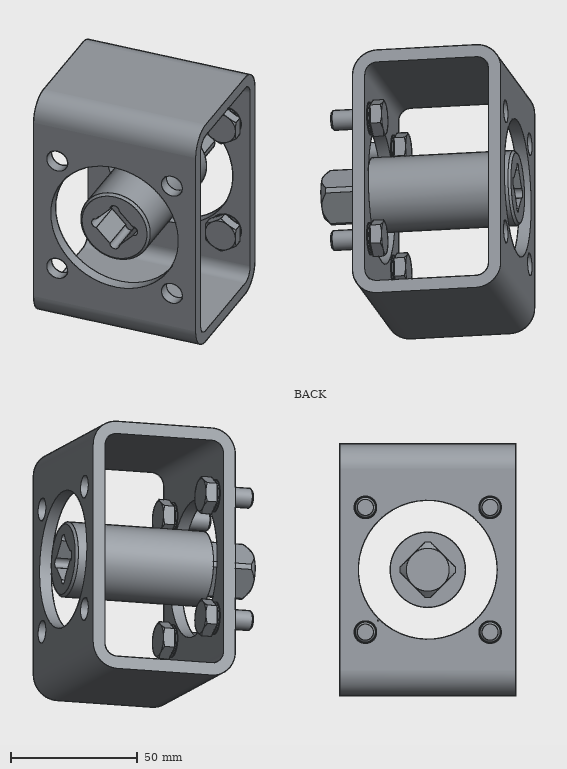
import cadquery as cq
import math

TUBE_LENGTH = 70.0
TUBE_DEPTH = 60.0
TUBE_HEIGHT = 100.0
WALL = 5.0
OUTER_CORNER_RADIUS = 10.0
INNER_CORNER_RADIUS = OUTER_CORNER_RADIUS - WALL
WINDOW_DIAMETER = 55.0
BOLT_CIRCLE_DIAMETER = 70.0
BOLT_ANGLE = 45.0
BOLT_HOLE_DIAMETER = 9.0
FRONT_FACE_Y = -TUBE_DEPTH / 2
BACK_WALL_INNER_Y = TUBE_DEPTH / 2 - WALL

STEM_LENGTH = 78.0
STEM_DIAMETER = 30.0
STEM_CHAMFER = 1.0
SOCKET_WIDTH = 14.0
SOCKET_CORNERS = 4
SOCKET_DEPTH = 16.0
RELIEF_RADIUS = 2.0
DRIVE_WIDTH = 17.0
DRIVE_CORNER_DIAMETER = 22.0
DRIVE_LENGTH = 20.0
DRIVE_CHAMFER = (DRIVE_CORNER_DIAMETER - DRIVE_WIDTH) / 2
STEM_BODY_LENGTH = STEM_LENGTH - DRIVE_LENGTH

WASHER_DIAMETER = 13.0
WASHER_BORE = 8.4
WASHER_THICKNESS = 0.8
WASHER_CHAMFER = 0.4

BOLT_DIAMETER = 8.0
SHANK_LENGTH = 16.0
SHANK_CHAMFER = 0.8
HEAD_SIDES = 6
HEAD_TURN = 90.0
HEAD_WIDTH = 13.0
HEAD_HEIGHT = 5.3
HEAD_CHAMFER_ANGLE = 30.0
COLLAR_DIAMETER = 11.6
COLLAR_HEIGHT = 0.6
BEARING_FACE_Y = BACK_WALL_INNER_Y - WASHER_THICKNESS

SQUARE_TURN = 45.0

bolt_offset = BOLT_CIRCLE_DIAMETER / 2 * math.sin(math.radians(BOLT_ANGLE))
bolt_positions = [(x, z) for x in (-bolt_offset, bolt_offset) for z in (-bolt_offset, bolt_offset)]


def facing_back(y):
    """Sketch plane at the given Y whose normal is +Y; local x is -X and local y is Z."""
    return cq.Workplane("XZ", origin=(0, y, 0)).transformed(rotate=(0, 180, 0))


def rounded_bar(depth, height, corner_radius):
    """Bar along X, as long as the tube, with rounded lengthwise edges."""
    return cq.Workplane("XY").box(TUBE_LENGTH, depth, height).edges("|X").fillet(corner_radius)


def make_housing():
    outside = rounded_bar(TUBE_DEPTH, TUBE_HEIGHT, OUTER_CORNER_RADIUS)
    inside = rounded_bar(TUBE_DEPTH - 2 * WALL, TUBE_HEIGHT - 2 * WALL, INNER_CORNER_RADIUS)
    windows = facing_back(FRONT_FACE_Y).circle(WINDOW_DIAMETER / 2).extrude(TUBE_DEPTH)
    bolt_holes = (
        facing_back(FRONT_FACE_Y)
        .pushPoints(bolt_positions)
        .circle(BOLT_HOLE_DIAMETER / 2)
        .extrude(TUBE_DEPTH)
    )
    return outside.cut(inside).cut(windows).cut(bolt_holes)


def make_square_drive():
    """Square standing on its corner, with turned corners and a conical end."""
    square = (
        facing_back(FRONT_FACE_Y + STEM_BODY_LENGTH)
        .transformed(rotate=(0, 0, SQUARE_TURN))
        .rect(DRIVE_WIDTH, DRIVE_WIDTH)
        .extrude(DRIVE_LENGTH)
    )
    turned_envelope = (
        facing_back(FRONT_FACE_Y + STEM_BODY_LENGTH)
        .circle(DRIVE_CORNER_DIAMETER / 2)
        .extrude(DRIVE_LENGTH)
        .faces(">Y")
        .chamfer(DRIVE_CHAMFER)
    )
    return square.intersect(turned_envelope)


def make_socket():
    """Blind square recess standing on its corner, with round reliefs reaching to its corners."""
    square = (
        facing_back(FRONT_FACE_Y)
        .transformed(rotate=(0, 0, SQUARE_TURN))
        .rect(SOCKET_WIDTH, SOCKET_WIDTH)
        .extrude(SOCKET_DEPTH)
    )
    relief_distance = SOCKET_WIDTH / math.sqrt(2.0) - RELIEF_RADIUS
    reliefs = (
        facing_back(FRONT_FACE_Y)
        .polarArray(relief_distance, 0, 360, SOCKET_CORNERS)
        .circle(RELIEF_RADIUS)
        .extrude(SOCKET_DEPTH)
    )
    return square.union(reliefs)


def make_stem():
    body = (
        facing_back(FRONT_FACE_Y)
        .circle(STEM_DIAMETER / 2)
        .extrude(STEM_BODY_LENGTH)
        .faces("<Y")
        .chamfer(STEM_CHAMFER)
    )
    return body.union(make_square_drive()).cut(make_socket())


def make_washer(x, z):
    """Flat ring on the inside of the back wall, chamfered on the side facing the bolt head."""
    washer = (
        facing_back(BEARING_FACE_Y)
        .circle(WASHER_DIAMETER / 2)
        .extrude(WASHER_THICKNESS)
        .faces("<Y")
        .chamfer(WASHER_CHAMFER)
        .faces(">Y")
        .workplane()
        .hole(WASHER_BORE)
    )
    return washer.translate((x, 0, z))


def make_bolt_head():
    """Hexagon with two corners along Z, a coned outer end and a round collar under it."""
    hexagon_height = HEAD_HEIGHT - COLLAR_HEIGHT
    corner_diameter = HEAD_WIDTH / math.cos(math.pi / HEAD_SIDES)
    cone_width = (corner_diameter - HEAD_WIDTH) / 2
    cone_height = cone_width * math.tan(math.radians(HEAD_CHAMFER_ANGLE))
    head_end_y = BEARING_FACE_Y - HEAD_HEIGHT
    hexagon = (
        facing_back(head_end_y)
        .transformed(rotate=(0, 0, HEAD_TURN))
        .polygon(HEAD_SIDES, corner_diameter)
        .extrude(hexagon_height)
    )
    coned_envelope = (
        facing_back(head_end_y)
        .circle(corner_diameter / 2)
        .extrude(hexagon_height)
        .faces("<Y")
        .chamfer(cone_height, cone_width)
    )
    collar = facing_back(BEARING_FACE_Y - COLLAR_HEIGHT).circle(COLLAR_DIAMETER / 2).extrude(COLLAR_HEIGHT)
    return hexagon.intersect(coned_envelope).union(collar)


def make_bolt(x, z):
    shank = (
        facing_back(BEARING_FACE_Y)
        .circle(BOLT_DIAMETER / 2)
        .extrude(SHANK_LENGTH)
        .faces(">Y")
        .chamfer(SHANK_CHAMFER)
    )
    return make_bolt_head().union(shank).translate((x, 0, z))


housing = make_housing()
stem = make_stem()
washers = [make_washer(x, z) for x, z in bolt_positions]
bolts = [make_bolt(x, z) for x, z in bolt_positions]

result = cq.Compound.makeCompound(
    [housing.val(), stem.val()]
    + [washer.val() for washer in washers]
    + [bolt.val() for bolt in bolts]
)